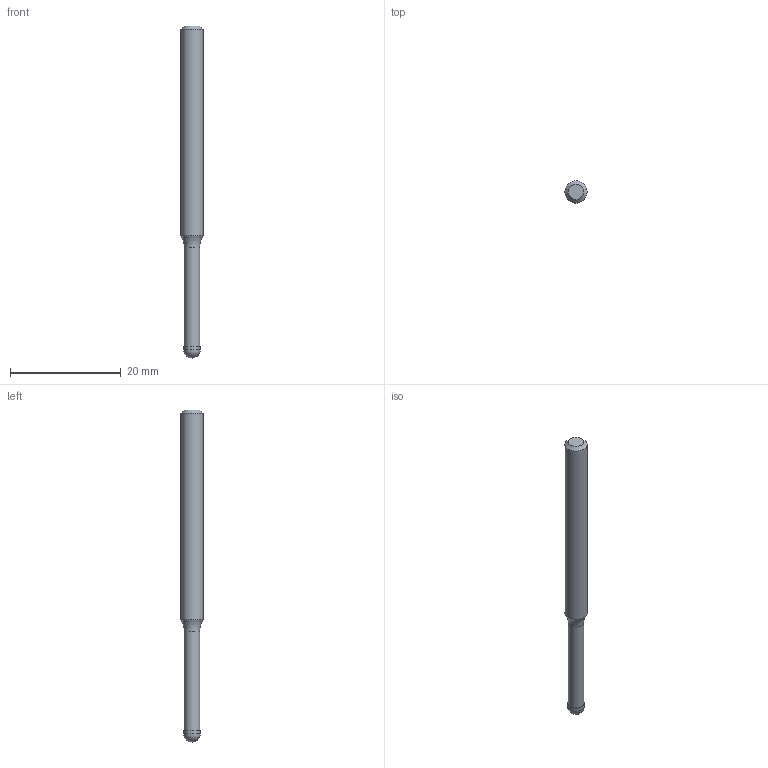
import cadquery as cq
import math

overall_length = 60.0
shank_radius = 2.0
shank_chamfer = 0.6
neck_radius = 1.4
neck_end_height = 20.0
flare_radius = 4.0
ball_radius = 1.5
head_length = 2.1

flare_center_x = neck_radius + flare_radius
flare_height = math.sqrt(flare_radius**2 - (flare_center_x - shank_radius) ** 2)
shank_start_height = neck_end_height + flare_height


def flare_point(angle):
    """Point on the concave flare, with the angle measured up from the neck end."""
    return (
        flare_center_x - flare_radius * math.cos(angle),
        neck_end_height + flare_radius * math.sin(angle),
    )


def make_cutting_head():
    """Hemispherical tip with a short cylindrical land."""
    ball_mid_offset = ball_radius * math.sqrt(0.5)
    profile = (
        cq.Workplane("XZ")
        .moveTo(0, 0)
        .threePointArc((ball_mid_offset, ball_radius - ball_mid_offset), (ball_radius, ball_radius))
        .lineTo(ball_radius, head_length)
        .lineTo(0, head_length)
        .close()
    )
    return profile.revolve(360, (0, 0), (0, 1))


def make_shank():
    """Slim neck flaring out to the full shank, chamfered at its top end."""
    flare_angle = math.asin(flare_height / flare_radius)
    profile = (
        cq.Workplane("XZ")
        .moveTo(0, head_length)
        .lineTo(neck_radius, head_length)
        .lineTo(neck_radius, neck_end_height)
        .threePointArc(flare_point(flare_angle / 2), (shank_radius, shank_start_height))
        .lineTo(shank_radius, overall_length - shank_chamfer)
        .lineTo(shank_radius - shank_chamfer, overall_length)
        .lineTo(0, overall_length)
        .close()
    )
    return profile.revolve(360, (0, 0), (0, 1))


cutting_head = make_cutting_head()
shank = make_shank()

result = cq.Compound.makeCompound([cutting_head.val(), shank.val()])